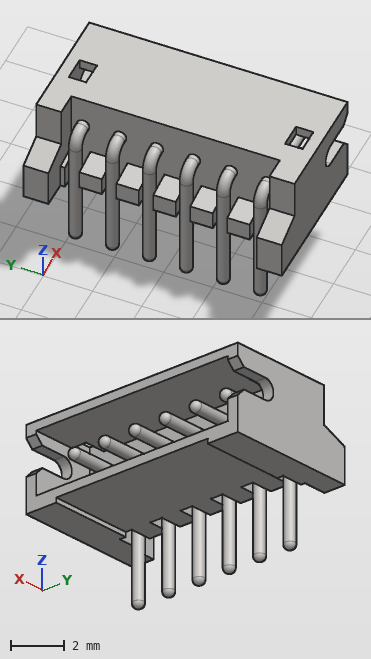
import cadquery as cq


depth = 6.0
length = 10.5
height = 3.7
end_wall = 0.5
top_wall = 0.4

ear_width = 1.02
ear_step_x = 1.17
ear_slope_low = 1.58
ear_slope_high = 2.06
recess_depth = 2.1

cavity_back_x = 3.0
channel_height = 0.21
floor_wall = 0.4
floor_top = channel_height + floor_wall

window_depth = 1.0
window_width = 0.7

notch_back_x = 4.0
notch_bottom = 1.88
notch_top = 2.8
notch_chamfer = 0.35

pin_count = 6
pitch = 1.5
pin_diameter = 0.5
pin_radius = pin_diameter / 2
pin_x = 1.4
pin_z = 2.39
pin_tip_x = 5.2
pin_tail = 2.71
bend_radius = 0.5
pin_positions = [(index - (pin_count - 1) / 2) * pitch for index in range(pin_count)]

tooth_front_x = 1.09
tooth_front_top = 0.98
tooth_back_top = 1.15
slot_width = 0.59


def box(x_range, y_range, z_range):
    """Axis-aligned box from its limits along each axis."""
    (x0, x1), (y0, y1), (z0, z1) = x_range, y_range, z_range
    return cq.Workplane().box(x1 - x0, y1 - y0, z1 - z0, centered=False).translate((x0, y0, z0))


def extrude_along_row(outline, width):
    """Closed XZ outline extruded by the given width, centred on the pin row."""
    return cq.Workplane("XZ").polyline(outline).close().extrude(width / 2, both=True)


def make_body():
    """End profile over the full length, recessed between the ears for the pins."""
    profile = [
        (0, 0),
        (depth, 0),
        (depth, height),
        (ear_step_x, height),
        (ear_step_x, ear_slope_high),
        (0, ear_slope_low),
    ]
    inner_half = length / 2 - ear_width
    recess = box((0, recess_depth), (-inner_half, inner_half), (0, height))
    return extrude_along_row(profile, length).cut(recess)


def make_comb():
    """Sloped bar between the ears, slotted around every pin."""
    profile = [
        (tooth_front_x, 0),
        (recess_depth, 0),
        (recess_depth, tooth_back_top),
        (tooth_front_x, tooth_front_top),
    ]
    comb = extrude_along_row(profile, length - 2 * ear_width)
    for y in pin_positions:
        slot = box(
            (tooth_front_x, recess_depth),
            (y - slot_width / 2, y + slot_width / 2),
            (0, tooth_back_top),
        )
        comb = comb.cut(slot)
    return comb


def make_cavity():
    """Mating cavity, open at the mouth."""
    half = length / 2 - end_wall
    return box((cavity_back_x, depth), (-half, half), (floor_top, height - top_wall))


def make_channel():
    """Shallow channel along X under the housing, between the two outer pins."""
    return box((0, depth), (pin_positions[0], pin_positions[-1]), (0, channel_height))


def make_windows():
    """One rectangular window through the top wall in each cavity corner."""
    outer = length / 2 - end_wall
    window = box(
        (cavity_back_x, cavity_back_x + window_depth),
        (outer - window_width, outer),
        (height - top_wall, height),
    )
    return window.union(window.mirror("XZ"))


def make_notch():
    """Notch through both end walls: fully rounded at the back, flared at the mouth."""
    radius = (notch_top - notch_bottom) / 2
    slot = (
        cq.Workplane("XZ")
        .moveTo(depth, notch_bottom)
        .lineTo(notch_back_x + radius, notch_bottom)
        .threePointArc((notch_back_x, notch_bottom + radius), (notch_back_x + radius, notch_top))
        .lineTo(depth, notch_top)
        .close()
        .extrude(length / 2, both=True)
    )
    flare = extrude_along_row(
        [
            (depth - notch_chamfer, notch_bottom),
            (depth, notch_bottom - notch_chamfer),
            (depth, notch_top + notch_chamfer),
            (depth - notch_chamfer, notch_top),
        ],
        length,
    )
    return slot.union(flare)


def make_pin():
    """Round bent pin at Y = 0 with hemispherical tips."""
    tail_end_z = pin_radius - pin_tail
    contact_end_x = pin_tip_x - pin_radius
    path = (
        cq.Workplane("XZ")
        .moveTo(pin_x, tail_end_z)
        .lineTo(pin_x, pin_z - bend_radius)
        .tangentArcPoint((pin_x + bend_radius, pin_z), relative=False)
        .lineTo(contact_end_x, pin_z)
    )
    pin = cq.Workplane("XY", origin=(pin_x, 0, tail_end_z)).circle(pin_radius).sweep(path)
    tip = cq.Workplane().sphere(pin_radius)
    tail_tip = tip.translate((pin_x, 0, tail_end_z))
    contact_tip = tip.translate((contact_end_x, 0, pin_z))
    return pin.union(tail_tip).union(contact_tip)


housing = make_body().union(make_comb())
for opening in (make_cavity(), make_channel(), make_windows()):
    housing = housing.cut(opening)

result = housing.cut(make_notch())

pin = make_pin()
for y in pin_positions:
    result = result.union(pin.translate((0, y, 0)))